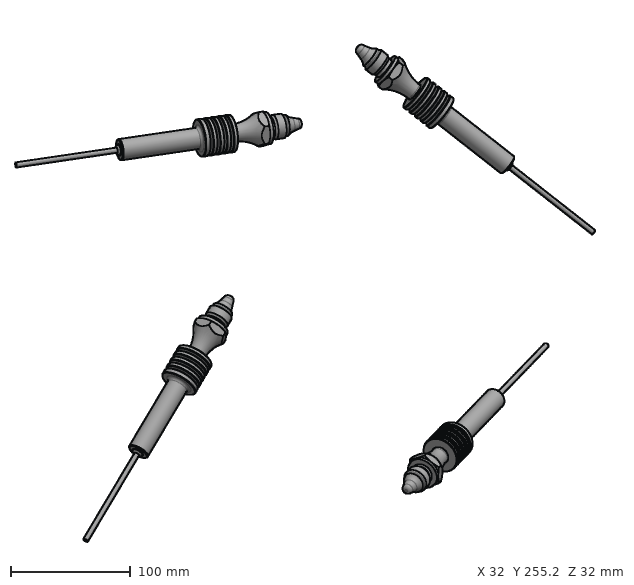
import cadquery as cq
import math

total_length = 255.2

tip_diameter = 2.3
nose_diameter = 9.2
taper_end = 8.2
taper_diameter = 12.0
cone_middle = 11.0
cone_middle_diameter = 14.0
cone_end = 13.5
neck_diameter = 18.0

ring_diameter = 21.0
ring_root_start = 15.0
ring_root_end = 15.8
ring_root_diameter = 18.5
ring_start = 17.0
ring_end = 24.2
ring_back_cone_end = 26.5

collar_start = 29.9
collar_end = 33.0
hex_flat_width = 27.3
hex_corner_start = 34.0
hex_corner_end = 37.8
flare_end = 60.5
flare_diameter = 15.0
flare_rim_diameter = 15.5

fin_diameter = 32.0
fin_start = 62.3
fin_pitch = 6.0
fin_width = 3.8
last_fin_width = 4.5
fin_count = 5
fin_chamfer = 0.5
fin_core_diameter = 12.5

barrel_diameter = 18.0
barrel_fillet = 2.42
barrel_end = 162.8
barrel_chamfer = 0.8
washer_diameter = 10.0
washer_end = 163.3
sleeve_diameter = 9.2
sleeve_tip_diameter = 6.0
sleeve_end = 165.0
rod_diameter = 4.5

half_length = total_length / 2
hex_half_side_angle = 30
hex_corner_diameter = hex_flat_width / math.cos(math.radians(hex_half_side_angle))


def at(diameter, station):
    """Profile point at a given diameter and distance from the nose tip."""
    return (diameter / 2, half_length - station)


def arc_point(center, radius, angle):
    """Point on a circle about center, at an angle in degrees from the outward radial direction."""
    turn = math.radians(angle)
    return (center[0] + radius * math.cos(turn), center[1] + radius * math.sin(turn))


def add_nose(profile):
    radius = (nose_diameter - tip_diameter) / 2
    center = at(tip_diameter, radius)
    return (
        profile.lineTo(*at(tip_diameter, 0))
        .threePointArc(arc_point(center, radius, 45), at(nose_diameter, radius))
        .lineTo(*at(taper_diameter, taper_end))
        .threePointArc(at(cone_middle_diameter, cone_middle), at(neck_diameter, cone_end))
    )


def add_ring(profile):
    return (
        profile.lineTo(*at(neck_diameter, ring_root_start))
        .tangentArcPoint(at(ring_root_diameter, ring_root_end), relative=False)
        .lineTo(*at(ring_diameter, ring_start))
        .lineTo(*at(ring_diameter, ring_end))
        .lineTo(*at(neck_diameter, ring_back_cone_end))
        .lineTo(*at(neck_diameter, collar_start))
    )


def add_collar_and_flare(profile):
    rise = (hex_corner_diameter - flare_diameter) / 2
    run = flare_end - hex_corner_end
    radius = (rise**2 + run**2) / (2 * rise)
    center = at(flare_diameter + 2 * radius, flare_end)
    half_sweep = math.degrees(math.asin(run / radius)) / 2
    return (
        profile.lineTo(*at(hex_flat_width, collar_start))
        .lineTo(*at(hex_flat_width, collar_end))
        .lineTo(*at(hex_corner_diameter, hex_corner_start))
        .lineTo(*at(hex_corner_diameter, hex_corner_end))
        .threePointArc(arc_point(center, radius, 180 - half_sweep), at(flare_diameter, flare_end))
        .tangentArcPoint(at(flare_rim_diameter, fin_start), relative=False)
    )


def add_fin(profile, front, back):
    """Continue the profile over one fin with chamfered rims."""
    rim_diameter = fin_diameter - 2 * fin_chamfer
    return (
        profile.lineTo(*at(rim_diameter, front))
        .lineTo(*at(fin_diameter, front + fin_chamfer))
        .lineTo(*at(fin_diameter, back - fin_chamfer))
        .lineTo(*at(rim_diameter, back))
    )


def add_fins(profile):
    groove_root_diameter = fin_core_diameter + fin_pitch - fin_width
    for index in range(fin_count - 1):
        front = fin_start + index * fin_pitch
        back = front + fin_width
        next_front = front + fin_pitch
        groove_bottom = at(fin_core_diameter, (back + next_front) / 2)
        profile = (
            add_fin(profile, front, back)
            .lineTo(*at(groove_root_diameter, back))
            .threePointArc(groove_bottom, at(groove_root_diameter, next_front))
        )
    last_front = fin_start + (fin_count - 1) * fin_pitch
    return add_fin(profile, last_front, last_front + last_fin_width)


def add_barrel_and_rod(profile):
    start = fin_start + (fin_count - 1) * fin_pitch + last_fin_width
    root_diameter = barrel_diameter + 2 * barrel_fillet
    fillet_end = start + barrel_fillet
    center = at(root_diameter, fillet_end)
    sleeve_round = (sleeve_diameter - sleeve_tip_diameter) / 2
    sleeve_center = at(sleeve_tip_diameter, sleeve_end - sleeve_round)
    return (
        profile.lineTo(*at(root_diameter, start))
        .threePointArc(arc_point(center, barrel_fillet, 135), at(barrel_diameter, fillet_end))
        .lineTo(*at(barrel_diameter, barrel_end - barrel_chamfer))
        .lineTo(*at(barrel_diameter - 2 * barrel_chamfer, barrel_end))
        .lineTo(*at(washer_diameter, barrel_end))
        .lineTo(*at(washer_diameter, washer_end))
        .lineTo(*at(sleeve_diameter, washer_end))
        .lineTo(*at(sleeve_diameter, sleeve_end - sleeve_round))
        .threePointArc(arc_point(sleeve_center, sleeve_round, -45), at(sleeve_tip_diameter, sleeve_end))
        .lineTo(*at(rod_diameter, sleeve_end))
        .lineTo(*at(rod_diameter, total_length))
        .lineTo(*at(0, total_length))
    )


def turned_body():
    profile = cq.Workplane("XY").moveTo(*at(0, 0))
    for add_section in (add_nose, add_ring, add_collar_and_flare, add_fins, add_barrel_and_rod):
        profile = add_section(profile)
    return profile.close().revolve(360, (0, 0, 0), (0, 1, 0))


def outside_hexagon():
    """Material to remove around the hexagon: flats face +X and -X, corners point to +Z and -Z."""
    plane = cq.Workplane("XZ", origin=(0, half_length - collar_end, 0))
    depth = flare_end - collar_end
    blank_radius = hex_corner_diameter
    blank = plane.circle(blank_radius).extrude(depth)
    hexagon = plane.transformed(rotate=(0, 0, hex_half_side_angle)).polygon(6, hex_corner_diameter)
    return blank.cut(hexagon.extrude(depth))


result = turned_body().cut(outside_hexagon())